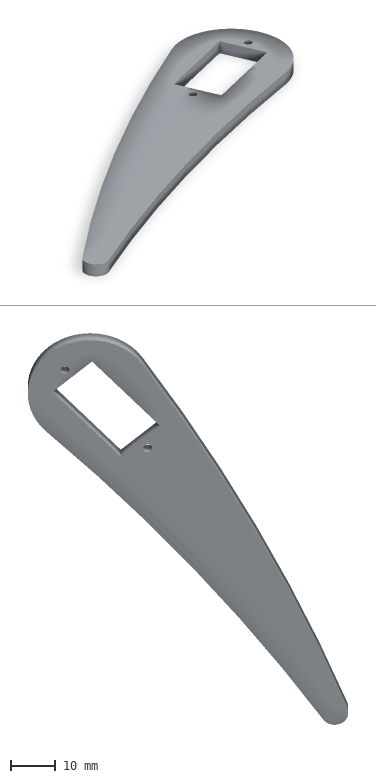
import cadquery as cq
import math

LENGTH = 117.0
WIDTH = 28.0
THICKNESS = 3.0
HEAD_RADIUS = WIDTH / 2
TIP_RADIUS = 3.0
CENTRE_SPACING = LENGTH - HEAD_RADIUS - TIP_RADIUS

WINDOW_WIDTH = 11.9
WINDOW_LENGTH = 22.8
WINDOW_X = -0.8
WINDOW_Y = -5.4
WINDOW_TILT = -8.9
SCREW_DIAMETER = 2.0
SCREW_SPACING = 27.6

RADIUS_STEP = HEAD_RADIUS - TIP_RADIUS
LEFT_CENTRE_X = (CENTRE_SPACING**2 - RADIUS_STEP**2) / (2 * RADIUS_STEP)
LEFT_RADIUS = LEFT_CENTRE_X + HEAD_RADIUS
RIGHT_CENTRE_X = LEFT_CENTRE_X
RIGHT_RADIUS = RIGHT_CENTRE_X - TIP_RADIUS
EDGE_SWEEP = math.atan2(CENTRE_SPACING, LEFT_CENTRE_X)


def point_on_circle(centre_x, centre_y, radius, angle):
    return (centre_x + radius * math.cos(angle), centre_y + radius * math.sin(angle))


def make_plate():
    head_left = (-HEAD_RADIUS, 0)
    head_top = (0, HEAD_RADIUS)
    head_right = point_on_circle(0, 0, HEAD_RADIUS, -EDGE_SWEEP)
    right_middle = point_on_circle(
        RIGHT_CENTRE_X, -CENTRE_SPACING, RIGHT_RADIUS, math.pi - EDGE_SWEEP / 2
    )
    tip_right = (TIP_RADIUS, -CENTRE_SPACING)
    tip_bottom = (0, -CENTRE_SPACING - TIP_RADIUS)
    tip_left = point_on_circle(0, -CENTRE_SPACING, TIP_RADIUS, math.pi + EDGE_SWEEP)
    left_middle = point_on_circle(LEFT_CENTRE_X, 0, LEFT_RADIUS, math.pi + EDGE_SWEEP / 2)
    return (
        cq.Workplane("XY")
        .moveTo(*head_left)
        .threePointArc(head_top, head_right)
        .threePointArc(right_middle, tip_right)
        .threePointArc(tip_bottom, tip_left)
        .threePointArc(left_middle, head_left)
        .close()
        .extrude(THICKNESS)
    )


def make_mount_cutter():
    window = cq.Workplane("XY").rect(WINDOW_WIDTH, WINDOW_LENGTH).extrude(THICKNESS)
    screws = (
        cq.Workplane("XY")
        .pushPoints([(0, SCREW_SPACING / 2), (0, -SCREW_SPACING / 2)])
        .circle(SCREW_DIAMETER / 2)
        .extrude(THICKNESS)
    )
    return (
        window.union(screws)
        .rotate((0, 0, 0), (0, 0, 1), WINDOW_TILT)
        .translate((WINDOW_X, WINDOW_Y, 0))
    )


result = make_plate().cut(make_mount_cutter())